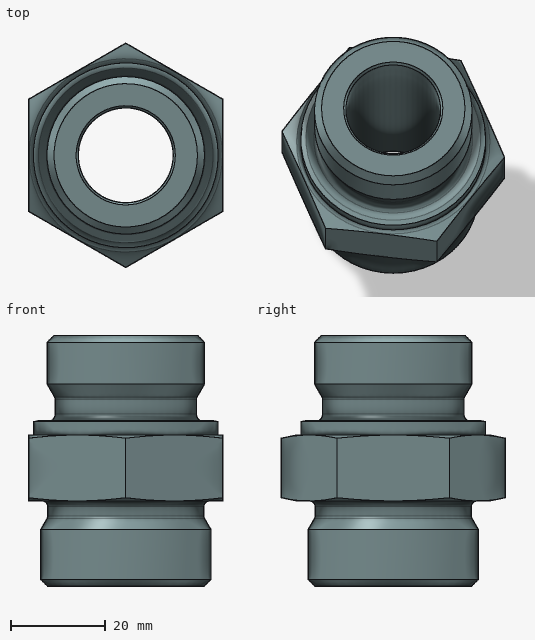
import cadquery as cq
import math

total_height = 53.0
hex_bottom = 18.0
hex_top = 31.95
collar_edge_z = 34.75
collar_crest_z = 35.0

bore_radius = 20.0 / 2
bore_chamfer = 0.5

across_flats = 41.0
corner_radius = across_flats / math.sqrt(3)
hex_face_radius = 20.4
corner_drop = 0.7

collar_radius = 39.0 / 2
crest_radius = 18.45

end_chamfer = 1.5
relief_angle = math.radians(30)
relief_fillet = 1.05

lower_radius = 36.0 / 2
lower_neck_radius = 33.0 / 2
lower_relief_z = 12.0
lower_root_fillet = 1.15

upper_radius = 33.25 / 2
upper_neck_radius = 29.9 / 2
upper_relief_z = 42.65
upper_neck_bottom = 36.35
upper_root_fillet = 1.6
seal_face_angle = math.radians(8)


def relief_points(end_radius, neck_radius, start_z, direction):
    """Cone end, fillet midpoint and neck start of an undercut relief; direction is +1 up, -1 down."""
    def fillet_point(angle):
        radius = neck_radius + relief_fillet * (1 - math.cos(angle))
        return radius, neck_z - direction * relief_fillet * math.sin(angle)

    cone_end_radius = neck_radius + relief_fillet * (1 - math.cos(relief_angle))
    cone_height = (end_radius - cone_end_radius) / math.tan(relief_angle)
    neck_z = start_z + direction * (cone_height + relief_fillet * math.sin(relief_angle))
    return fillet_point(relief_angle), fillet_point(relief_angle / 2), fillet_point(0)


def make_lower_end():
    cone_end, fillet_middle, neck_start = relief_points(lower_radius, lower_neck_radius, lower_relief_z, 1)
    root_z = hex_bottom - lower_root_fillet
    return (
        cq.Workplane("XZ")
        .lineTo(lower_radius - end_chamfer, 0)
        .lineTo(lower_radius, end_chamfer)
        .lineTo(lower_radius, lower_relief_z)
        .lineTo(*cone_end)
        .threePointArc(fillet_middle, neck_start)
        .lineTo(lower_neck_radius, root_z)
        .radiusArc((lower_neck_radius + lower_root_fillet, hex_bottom), lower_root_fillet)
        .lineTo(0, hex_bottom)
        .close()
        .revolve(360, (0, 0), (0, 1))
    )


def make_hexagon():
    hexagon = (
        cq.Workplane("XY", origin=(0, 0, hex_bottom))
        .polygon(6, 2 * corner_radius)
        .extrude(hex_top - hex_bottom)
        .rotate((0, 0, 0), (0, 0, 1), 30)
    )
    trim = (
        cq.Workplane("XZ")
        .moveTo(0, hex_bottom)
        .lineTo(hex_face_radius, hex_bottom)
        .lineTo(corner_radius, hex_bottom + corner_drop)
        .lineTo(corner_radius, hex_top - corner_drop)
        .lineTo(hex_face_radius, hex_top)
        .lineTo(0, hex_top)
        .close()
        .revolve(360, (0, 0), (0, 1))
    )
    return hexagon.intersect(trim)


def make_upper_end():
    cone_end, fillet_middle, neck_end = relief_points(upper_radius, upper_neck_radius, upper_relief_z, -1)
    root_end = (
        upper_neck_radius + upper_root_fillet * (1 + math.sin(seal_face_angle)),
        upper_neck_bottom - upper_root_fillet * math.cos(seal_face_angle),
    )
    return (
        cq.Workplane("XZ")
        .moveTo(0, hex_top)
        .lineTo(collar_radius, hex_top)
        .lineTo(collar_radius, collar_edge_z)
        .lineTo(crest_radius, collar_crest_z)
        .lineTo(*root_end)
        .radiusArc((upper_neck_radius, upper_neck_bottom), upper_root_fillet)
        .lineTo(*neck_end)
        .threePointArc(fillet_middle, cone_end)
        .lineTo(upper_radius, upper_relief_z)
        .lineTo(upper_radius, total_height - end_chamfer)
        .lineTo(upper_radius - end_chamfer, total_height)
        .lineTo(0, total_height)
        .close()
        .revolve(360, (0, 0), (0, 1))
    )


def make_bore():
    return (
        cq.Workplane("XZ")
        .lineTo(bore_radius, 0)
        .lineTo(bore_radius, total_height - bore_chamfer)
        .lineTo(bore_radius + bore_chamfer, total_height)
        .lineTo(0, total_height)
        .close()
        .revolve(360, (0, 0), (0, 1))
    )


result = make_lower_end().union(make_hexagon()).union(make_upper_end()).cut(make_bore())